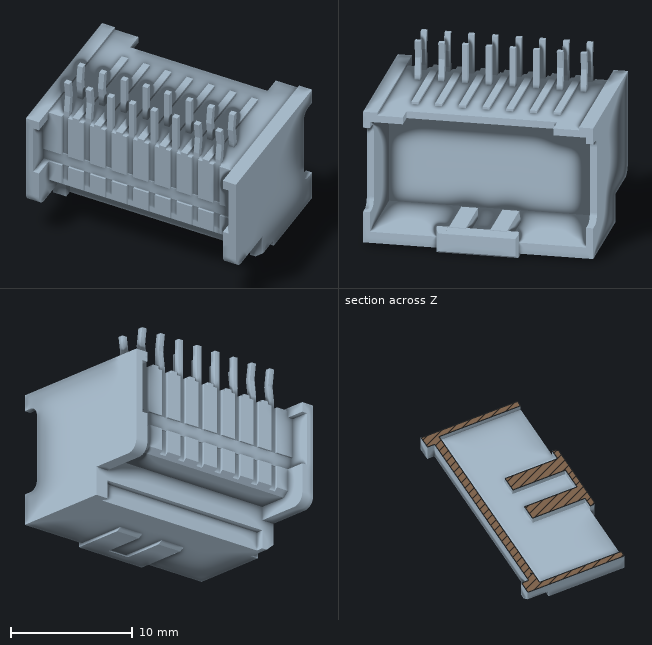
import cadquery as cq


width = 19.4
depth = 13.97
height = 11.48
plate_thickness = 1.2
inner_half = width / 2 - plate_thickness

step_y = 5.0
step_z = 2.48
step_radius = 1.0
notch_floor_y = 12.45
notch_bottom_z = 2.7
notch_top_z = 10.09
notch_radius = 0.8
corner_cut_width = 0.72
corner_cut_height = 0.6
corner_cut_depth = 1.94

rib_height = 0.25
deck_z = height - rib_height
face_y = 1.78
belly_z = 3.67
belly_chamfer_depth = 0.5
belly_chamfer_height = 0.47
heel_recess_height = 1.6
heel_recess_depth = 0.65
top_notch_half = 6.35

groove_outer_wall = 0.68
groove_half = width / 2 - groove_outer_wall
groove_bottom_z = 6.05
groove_top_z = 10.63
channel_top_z = 7.22
channel_depth = 0.2
slot_depth = 0.3
slot_floor_y = face_y + slot_depth

columns = 8
pitch = 2.0
slot_width = 0.6
rib_width = 0.6
rib_end_y = 10.83
tail_size = 0.48
tail_top_z = 14.65
tail_kink_start_z = 11.65
tail_kink_offset = 0.21
tail_embed = 1.94
tail_root_z = deck_z - tail_embed
rear_tail_y = 4.55
kinked_columns_per_end = 2

cavity_floor_y = 6.4
cavity_wall = 0.6
cavity_bottom_z = 0.97

key_half = 3.45
key_core_half = 2.58
key_drop = 0.25
key_front_y = 9.1
key_ramp = 0.43
key_back_y = 14.5
key_top_z = 1.92
key_shoulder_y = 14.16
key_shoulder_z = 1.45
key_bottom_chamfer = 0.15
key_corner = 0.21
key_slot_half = 1.07
key_slot_end_y = 13.58
key_tab_inner = 1.03
key_tab_back_y = 14.03
key_tab_side_chamfer = 0.14


def box(x0, x1, y0, y1, z0, z1):
    """Axis-aligned block between two opposite corners."""
    return cq.Workplane("XY").box(x1 - x0, y1 - y0, z1 - z0, centered=False).translate((x0, y0, z0))


def side_profile(points, half_width):
    """Closed (Y, Z) outline extruded symmetrically about X = 0."""
    return cq.Workplane("YZ").polyline(points).close().extrude(half_width, both=True)


def column_positions(count):
    """X positions of evenly pitched columns centred on X = 0."""
    return [(i - (count - 1) / 2) * pitch for i in range(count)]


def make_end_plates():
    """Stepped plates at both X ends, rounded at the lower front edge."""
    outline = [
        (0, step_z), (step_y, step_z), (step_y, 0), (depth, 0), (depth, height), (0, height),
    ]
    slab = side_profile(outline, width / 2)
    lower_front_edge = cq.selectors.NearestToPointSelector((0, 0, step_z))
    slab = slab.edges(lower_front_edge).fillet(step_radius)
    return slab.cut(box(-inner_half, inner_half, 0, depth, 0, height))


def make_middle():
    """Solid block between the plates, chamfered below the face and recessed at the heel."""
    outline = [
        (face_y, belly_z + belly_chamfer_height),
        (face_y + belly_chamfer_depth, belly_z),
        (step_y, belly_z),
        (step_y, heel_recess_height),
        (step_y + heel_recess_depth, heel_recess_height),
        (step_y + heel_recess_depth, 0),
        (depth, 0),
        (depth, deck_z),
        (face_y, deck_z),
    ]
    return side_profile(outline, inner_half)


def make_front_cuts():
    """Plate grooves, horizontal channel, and tail slots above and below it."""
    gap = groove_half - inner_half
    channel_y = face_y + channel_depth
    cuts = box(-groove_half, groove_half, face_y, channel_y, groove_bottom_z, channel_top_z)
    for x0 in (-groove_half, inner_half):
        cuts = cuts.union(box(x0, x0 + gap, 0, face_y, groove_bottom_z, groove_top_z))
    for x in column_positions(columns):
        left = x - slot_width / 2
        right = x + slot_width / 2
        for z0, z1 in ((belly_z, groove_bottom_z), (channel_top_z, height)):
            cuts = cuts.union(box(left, right, face_y, slot_floor_y, z0, z1))
    return cuts


def make_back_notch():
    """Rounded notch across the whole rear of the end plates."""
    notch = box(-width / 2, width / 2, notch_floor_y, depth, notch_bottom_z, notch_top_z)
    return notch.edges("|X and <Y").fillet(notch_radius)


def make_cavity():
    """Mating cavity open toward +Y, with a finger notch through the top wall."""
    half = width / 2 - cavity_wall
    cavity = box(-half, half, cavity_floor_y, depth, cavity_bottom_z, deck_z - cavity_wall)
    finger_notch = box(-top_notch_half, top_notch_half, notch_floor_y, depth, cavity_bottom_z, height)
    return cavity.union(finger_notch)


def make_corner_cut():
    """Triangular pin-one mark on the lower front corner of the +X plate."""
    corner = width / 2
    return (
        cq.Workplane("XZ", origin=(0, step_y, 0))
        .polyline([(corner, 0), (corner - corner_cut_width, 0), (corner, corner_cut_height)])
        .close()
        .extrude(-corner_cut_depth)
    )


def make_tail(x, y_front, kink):
    """Square solder tail; a non-zero kink bends its exposed middle along Y."""
    y_back = y_front + tail_size
    kink_z = (tail_kink_start_z + tail_top_z) / 2
    outline = [
        (y_front, tail_root_z),
        (y_front, tail_kink_start_z),
        (y_front + kink, kink_z),
        (y_front, tail_top_z),
        (y_back, tail_top_z),
        (y_back + kink, kink_z),
        (y_back, tail_kink_start_z),
        (y_back, tail_root_z),
    ]
    return side_profile(outline, tail_size / 2).translate((x, 0, 0))


def make_key():
    """Key pad under the lower wall, with a hooked bar behind it."""
    pad_outline = [
        (key_front_y, 0),
        (key_front_y + key_ramp, -key_drop),
        (key_back_y - key_bottom_chamfer, -key_drop),
        (key_back_y, key_bottom_chamfer - key_drop),
        (key_back_y, key_shoulder_z),
        (key_shoulder_y, key_top_z),
        (depth, key_top_z),
        (depth, 0),
    ]
    key = side_profile(pad_outline, key_half)
    for side in (-1, 1):
        corner_outline = [
            (side * key_half, key_back_y),
            (side * (key_half - key_corner), key_back_y),
            (side * key_half, key_back_y - key_corner),
        ]
        corner = cq.Workplane("XY", origin=(0, 0, -key_drop)).polyline(corner_outline).close()
        key = key.cut(corner.extrude(key_drop + key_top_z))
    ramp_outline = [(depth, key_top_z), (key_back_y, key_top_z), (key_back_y, key_shoulder_z)]
    key = key.cut(side_profile(ramp_outline, key_core_half))
    slot_outline = [
        (key_front_y, 0),
        (key_front_y, -key_drop),
        (key_slot_end_y - key_drop, -key_drop),
        (key_slot_end_y, 0),
    ]
    return key.cut(side_profile(slot_outline, key_slot_half))


def make_key_tab(side):
    """Raised tab on the cavity floor beside the key centre; side is -1 or +1."""
    outer = key_core_half
    outline = [
        (side * key_tab_inner, 0),
        (side * key_tab_inner, key_top_z),
        (side * (outer - key_tab_side_chamfer), key_top_z),
        (side * outer, cavity_bottom_z),
        (side * outer, 0),
    ]
    return (
        cq.Workplane("XZ", origin=(0, key_front_y, 0))
        .polyline(outline)
        .close()
        .extrude(key_front_y - key_tab_back_y)
    )


housing = make_end_plates().union(make_middle())
housing = housing.cut(make_front_cuts()).cut(make_back_notch())
housing = housing.cut(make_cavity()).cut(make_corner_cut())

for rib_x in column_positions(columns - 1):
    half_rib = rib_width / 2
    housing = housing.union(box(rib_x - half_rib, rib_x + half_rib, face_y, rib_end_y, deck_z, height))

for index, tail_x in enumerate(column_positions(columns)):
    is_kinked = min(index, columns - 1 - index) < kinked_columns_per_end
    bend = tail_kink_offset if is_kinked else 0
    housing = housing.union(make_tail(tail_x, slot_floor_y, bend))
    housing = housing.union(make_tail(tail_x, rear_tail_y, -bend))

result = housing.union(make_key()).union(make_key_tab(-1)).union(make_key_tab(1))